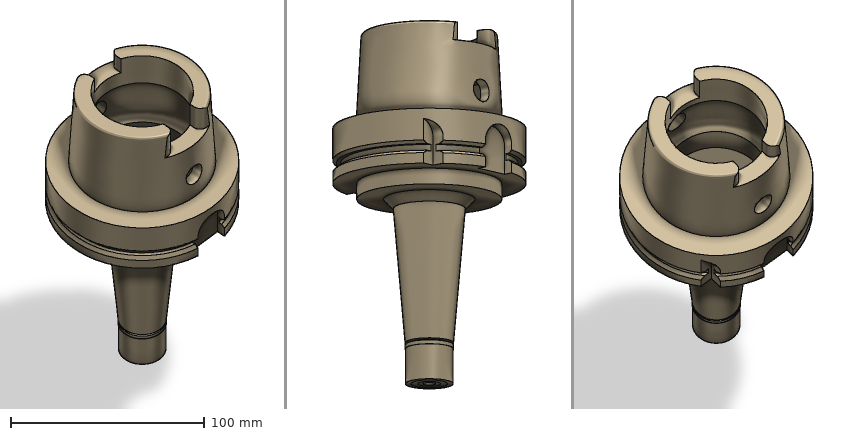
import cadquery as cq
import math


total_length = 185.0
shank_top = 50.0
holder_tip = shank_top - total_length

flange_diameter = 100.0
flange_radius = flange_diameter / 2
flange_bottom = -29.0
groove_radius = 46.0
groove_ledge_radius = 48.1
groove_upper_edge = -16.8
groove_floor_top = -18.3
groove_floor_bottom = -21.8
groove_lower_edge = -23.5

shank_base_radius = 38.1
shank_top_radius = 35.3
shank_edge_fillet = 1.8
shank_bore_radius = 26.5
undercut_radius = 31.5
undercut_top = 30.3
undercut_taper = 2.8
undercut_bottom = 9.5
undercut_round = 8.0
cavity_floor = -12.5
cross_hole_radius = 6.0
cross_hole_height = 14.8

drive_slot_width = 20.0
left_drive_slot_depth = 10.0
right_drive_slot_depth = 15.0
drive_slot_shoulder = 32.0
drive_slot_corner_radius = 4.6

flange_slot_width = 20.0
flange_slot_top = -5.0
flange_slot_floor = 44.0
side_slot_floor = 32.0
side_slot_offset = 41.3

collar_radius = 37.5
collar_bottom = -37.4
neck_shoulder_radius = 23.7
neck_top = -42.4
neck_top_radius = 18.7
neck_bottom = -113.4
neck_bottom_radius = 12.5
spigot_radius = 9.5

coolant_bore_radius = 11.8
coolant_bore_depth = 9.2
collet_bore_radius = 6.0

nut_top = -114.5
nut_rim_bottom = -116.5
nut_rim_radius = 12.5
nut_radius = 12.4
collet_length = 27.0
tool_hole_radius = 3.1


def revolve_profile(points):
    """Solid of revolution about Z from (radius, height) points."""
    return cq.Workplane("XZ").polyline(points).close().revolve(360, (0, 0, 0), (0, 1, 0))


def rod(radius, bottom, top):
    """Cylinder on the Z axis between two heights."""
    return cq.Workplane("XY").workplane(offset=bottom).circle(radius).extrude(top - bottom)


def holder_blank():
    """Flange, collar, neck and spigot with the axial collet bore still solid."""
    lower = revolve_profile([
        (0, 0),
        (flange_radius, 0),
        (flange_radius, groove_upper_edge),
        (groove_ledge_radius, groove_floor_top),
        (groove_radius, groove_floor_top),
        (groove_radius, groove_floor_bottom),
        (groove_ledge_radius, groove_floor_bottom),
        (flange_radius, groove_lower_edge),
        (flange_radius, flange_bottom),
        (collar_radius, flange_bottom),
        (collar_radius, collar_bottom),
        (neck_shoulder_radius, collar_bottom),
        (neck_top_radius, neck_top),
        (neck_bottom_radius, neck_bottom),
        (spigot_radius, neck_bottom),
        (spigot_radius, holder_tip),
        (0, holder_tip),
    ])
    shank = revolve_profile([
        (0, 0),
        (shank_base_radius, 0),
        (shank_top_radius, shank_top),
        (0, shank_top),
    ])
    return lower.union(shank.faces(">Z").edges().fillet(shank_edge_fillet))


def shank_cavity():
    """Open bore down to the cavity floor, with a wider undercut that runs out in a round below."""
    sweep = math.acos(1 - (undercut_radius - shank_bore_radius) / undercut_round)

    def round_point(angle):
        """Point on the run-out round, turned by an angle from its upper end."""
        radius = undercut_radius - undercut_round * (1 - math.cos(angle))
        height = undercut_bottom - undercut_round * math.sin(angle)
        return (radius, height)

    round_end = round_point(sweep)
    undercut = (
        cq.Workplane("XZ")
        .moveTo(0, undercut_top)
        .lineTo(shank_bore_radius, undercut_top)
        .lineTo(undercut_radius, undercut_top - undercut_taper)
        .lineTo(undercut_radius, undercut_bottom)
        .threePointArc(round_point(sweep / 2), round_end)
        .lineTo(0, round_end[1])
        .close()
        .revolve(360, (0, 0, 0), (0, 1, 0))
    )
    return rod(shank_bore_radius, cavity_floor, shank_top).union(undercut)


def drive_slot(side, depth):
    """Rim slot on the -X (side = -1) or +X (side = 1) side, flaring out beyond its shoulder."""
    shoulder = side * drive_slot_shoulder
    outside = side * flange_radius
    half_width = drive_slot_width / 2
    corner = drive_slot_corner_radius
    corner_reach = corner * math.sqrt(0.5)
    corner_start = side * (drive_slot_shoulder - corner)
    corner_middle = side * (drive_slot_shoulder - corner + corner_reach)
    middle_offset = half_width + corner - corner_reach
    outline = (
        cq.Workplane("XY")
        .workplane(offset=shank_top - depth)
        .moveTo(0, -half_width)
        .lineTo(corner_start, -half_width)
        .threePointArc((corner_middle, -middle_offset), (shoulder, -half_width - corner))
        .lineTo(shoulder, -flange_radius)
        .lineTo(outside, -flange_radius)
        .lineTo(outside, flange_radius)
        .lineTo(shoulder, flange_radius)
        .lineTo(shoulder, half_width + corner)
        .threePointArc((corner_middle, middle_offset), (corner_start, half_width))
        .lineTo(0, half_width)
        .close()
    )
    return outline.extrude(depth)


def flange_slot(side, floor, offset):
    """Slot with a round top and a flat floor at X = side * floor, centred at Y = offset."""
    radius = flange_slot_width / 2
    centre_height = flange_slot_top - radius
    outline = (
        cq.Workplane("YZ")
        .workplane(offset=side * floor)
        .moveTo(offset - radius, flange_bottom)
        .lineTo(offset - radius, centre_height)
        .threePointArc((offset, flange_slot_top), (offset + radius, centre_height))
        .lineTo(offset + radius, flange_bottom)
        .close()
    )
    return outline.extrude(side * (flange_radius - floor))


def make_holder():
    """Hollow-shank holder with its slots and bores."""
    cross_hole = (
        cq.Workplane("YZ")
        .center(0, cross_hole_height)
        .circle(cross_hole_radius)
        .extrude(flange_radius, both=True)
    )
    return (
        holder_blank()
        .cut(shank_cavity())
        .cut(cross_hole)
        .cut(drive_slot(-1, left_drive_slot_depth))
        .cut(drive_slot(1, right_drive_slot_depth))
        .cut(flange_slot(-1, flange_slot_floor, 0))
        .cut(flange_slot(1, flange_slot_floor, 0))
        .cut(flange_slot(-1, side_slot_floor, side_slot_offset))
        .cut(rod(coolant_bore_radius, cavity_floor - coolant_bore_depth, cavity_floor))
        .cut(rod(collet_bore_radius, holder_tip, cavity_floor))
    )


def make_nut():
    """Nut sleeve around the spigot, with a slightly wider rim at its top."""
    return revolve_profile([
        (spigot_radius, holder_tip),
        (nut_radius, holder_tip),
        (nut_radius, nut_rim_bottom),
        (nut_rim_radius, nut_rim_bottom),
        (nut_rim_radius, nut_top),
        (spigot_radius, nut_top),
    ])


def make_collet():
    """Collet sleeve that fills the end of the collet bore and leaves the tool hole open."""
    sleeve = rod(collet_bore_radius, holder_tip, holder_tip + collet_length)
    return sleeve.cut(rod(tool_hole_radius, holder_tip, holder_tip + collet_length))


holder = make_holder()
nut = make_nut()
collet = make_collet()

result = cq.Compound.makeCompound([holder.val(), nut.val(), collet.val()])